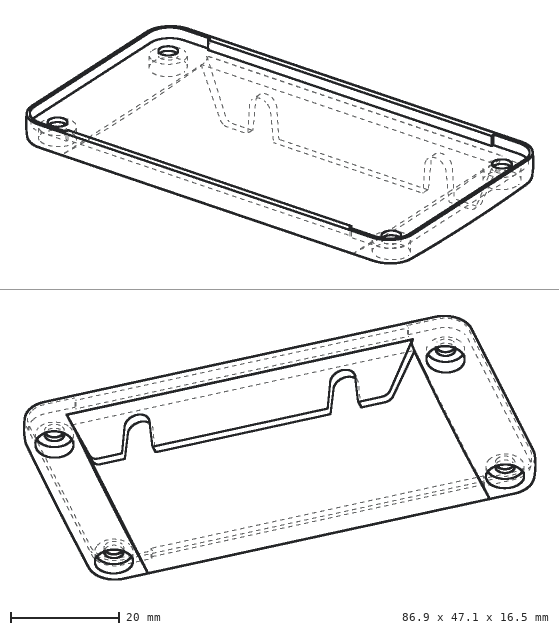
import cadquery as cq
import math

length = 86.9
width = 47.1
height = 16.5
corner_radius = 5.5

wall_lean = 6.0
barrel_top = 0.8
barrel_bottom = 3.3
core_inset = 2.6

edge_depth = 5.1
middle_depth = 5.9
underside_fillet = 0.9
underside_allowance = 0.9

pocket_depth = 2.1
end_rim_wall = 0.7
long_rim_wall = 0.9
pocket_draft = 6.0
ledge_wall = 1.6
ledge_length = 64.6

channel_half = 33.2
channel_depth = 5.1
channel_height = 1.7

hole_diameter = 3.65
counterbore_diameter = 7.0
counterbore_floor = 0.95
hole_spacing_x = 76.0
hole_spacing_y = 34.75

tab_root_depth = 4.35
tab_root_half = 33.6
tab_foot_half = 28.75
tab_root_thickness = 2.3
tab_foot_thickness = 1.65
tab_root_setback = 0.1
tab_foot_setback = 0.35
tab_corner_radius = 1.7

slot_offset = 20.0
slot_top_depth = 8.1
slot_radius = 2.4
slot_mouth_half = 2.95
slot_mouth_fillet = 0.3


def rounded_rectangle(end_inset, long_inset, z):
    """Plate outline pulled in at its ends and long sides, as a sketch at height z."""
    return (
        cq.Workplane("XY", origin=(0, 0, z))
        .sketch()
        .rect(length - 2 * end_inset, width - 2 * long_inset)
        .vertices()
        .fillet(corner_radius - long_inset)
        .finalize()
    )


def make_plate():
    """Solid plate with barrelled sides and a bowed, rounded underside."""
    lean = math.tan(math.radians(wall_lean))
    barrel_half = (barrel_bottom - barrel_top) / 2
    barrel_middle = (barrel_bottom + barrel_top) / 2
    barrel_rise = barrel_half * math.tan(math.radians(wall_lean / 2))
    block_depth = middle_depth + underside_allowance
    side = -width / 2
    barrel_edge = side + barrel_rise

    core = rounded_rectangle(core_inset, core_inset, -block_depth).extrude(block_depth)
    path = rounded_rectangle(0, 0, 0).extrude(-block_depth).faces(">Z").wires()
    wall = (
        cq.Workplane("YZ")
        .moveTo(side + core_inset, 0)
        .lineTo(barrel_edge + barrel_top * lean, 0)
        .lineTo(barrel_edge, -barrel_top)
        .threePointArc((side, -barrel_middle), (barrel_edge, -barrel_bottom))
        .lineTo(barrel_edge + (block_depth - barrel_bottom) * lean, -block_depth)
        .lineTo(side + core_inset, -block_depth)
        .close()
        .sweep(path)
    )
    bow_envelope = (
        cq.Workplane("YZ", origin=(-length, 0, 0))
        .moveTo(-width / 2, 0)
        .lineTo(-width / 2, -edge_depth)
        .threePointArc((0, -middle_depth), (width / 2, -edge_depth))
        .lineTo(width / 2, 0)
        .close()
        .extrude(2 * length)
    )
    plate = core.union(wall).intersect(bow_envelope)
    return plate.faces("<Z").edges().fillet(underside_fillet)


def make_pocket():
    """Tray opening, narrowed between the two thicker long walls."""
    opening = rounded_rectangle(end_rim_wall, long_rim_wall, 0).extrude(-pocket_depth, taper=pocket_draft)
    ledge_width = 2 * ledge_wall
    for side in (-1, 1):
        ledge = cq.Workplane("XY").box(ledge_length, ledge_width, 2 * pocket_depth)
        opening = opening.cut(ledge.translate((0, side * width / 2, 0)))
    return opening


def make_slot(x):
    """Round-topped slot, flaring towards the foot of the tab."""
    centre_z = -slot_top_depth - slot_radius
    return (
        cq.Workplane("XZ", origin=(x, 0, 0))
        .moveTo(-slot_mouth_half, -height)
        .lineTo(-slot_radius, centre_z)
        .threePointArc((0, -slot_top_depth), (slot_radius, centre_z))
        .lineTo(slot_mouth_half, -height)
        .close()
        .extrude(-width)
    )


def make_tab():
    """Tapered tab with sloping ends and two slots."""
    outline = (
        cq.Workplane("XZ")
        .moveTo(-tab_root_half, -tab_root_depth)
        .lineTo(-tab_foot_half, -height)
        .lineTo(tab_foot_half, -height)
        .lineTo(tab_root_half, -tab_root_depth)
        .close()
        .extrude(-width)
    )
    for x in (-slot_offset, slot_offset):
        outline = outline.cut(make_slot(x))
    outline = outline.faces("<Z").edges("|Y").edges("not(<X or >X)").fillet(slot_mouth_fillet)
    outline = outline.faces("<Z").edges("|Y").edges("<X or >X").fillet(tab_corner_radius)

    root_face = width / 2 - tab_root_setback
    foot_face = width / 2 - tab_foot_setback
    taper = (
        cq.Workplane("YZ", origin=(-length / 2, 0, 0))
        .moveTo(root_face, -tab_root_depth)
        .lineTo(foot_face, -height)
        .lineTo(foot_face - tab_foot_thickness, -height)
        .lineTo(root_face - tab_root_thickness, -tab_root_depth)
        .close()
        .extrude(length)
    )
    return outline.intersect(taper)


def make_corner_holes():
    """Four through holes, counterbored from the underside."""
    centres = cq.Workplane("XY").rect(hole_spacing_x, hole_spacing_y, forConstruction=True).vertices()
    holes = centres.circle(hole_diameter / 2).extrude(-height)
    counterbores = centres.circle(counterbore_diameter / 2).extrude(-height)
    ceiling = cq.Workplane("XY").box(length, width, 2 * (pocket_depth + counterbore_floor))
    return holes.union(counterbores.cut(ceiling))


def make_channel():
    """Flat-roofed channel across the underside, over the length of the tab."""
    channel = cq.Workplane("XY").box(2 * channel_half, width, channel_height)
    return channel.translate((0, 0, -channel_depth - channel_height / 2))


plate = make_plate().cut(make_channel())
result = plate.union(make_tab()).cut(make_pocket()).cut(make_corner_holes())